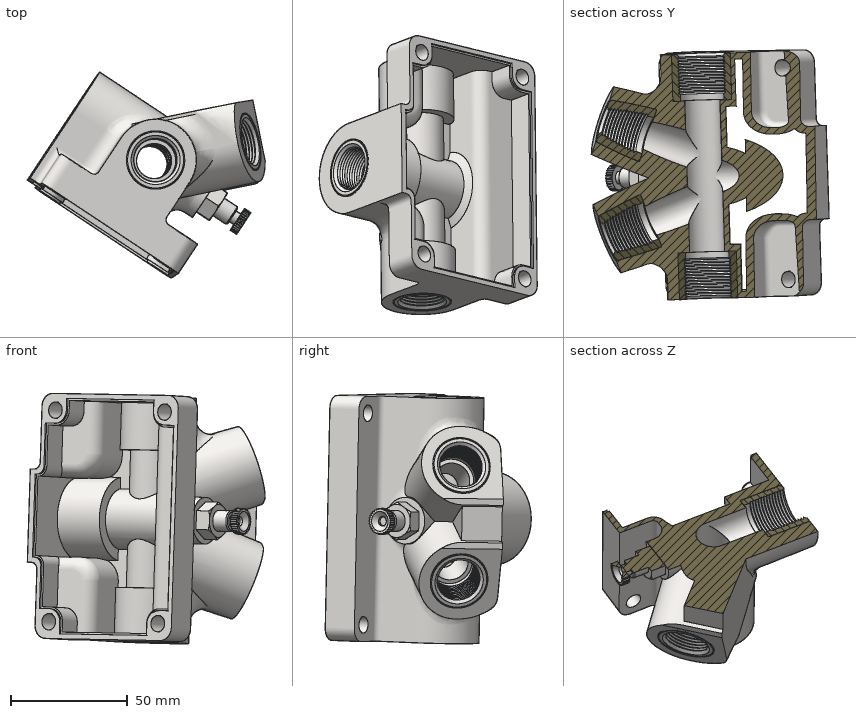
import cadquery as cq
import math

YAW = -33.54
PITCH = 0.85
ROLL = -2.0

WALL = 3.0

FLANGE_HALF_WIDTH = 35.0
HALF_HEIGHT = 52.5
FLANGE_CORNER = 5.5
FRONT_Y = -35.0
FLANGE_BACK_Y = -20.0
SCREW_X = 28.0
SCREW_Z = 45.3
SCREW_HOLE_DIAMETER = 7.0
SCREW_HOLE_DEPTH = 15.0
POST_RADIUS = 6.4

BOSS_RADIUS = 17.5
NOTCH_FILLET = 2.5
ARM_RADIUS = 20.0
ARM_END_X = -40.0
ARM_FLANGE_FILLET = 3.0
ARM_BOSS_FILLET = 7.0
BRANCH_RADIUS = 17.5
BRANCH_TURN = 45.0
BRANCH_RISE = 20.0
BRANCH_START_Z = 9.4
BRANCH_LENGTH = 45.0
BRANCH_REACH = 47.4
BRANCH_CORNER_START = 28.7
BRANCH_CORNER_DROP = 10.5
BRANCH_BOSS_FILLET = 7.0
BRANCH_BLEND_HALF_WIDTH = 16.0
WEB_HALF_HEIGHT = 8.0
WEB_REACH = 45.6

POCKET_HALF_WIDTH = 32.2
POCKET_HALF_HEIGHT = 49.6
POCKET_FLOOR_Y = -22.5
LIP_WIDTH = 0.8
LIP_DEPTH = 1.0
CHANNEL_HALF_WIDTH = BOSS_RADIUS - WALL
CHANNEL_FLOOR_Y = -2.5
CHANNEL_ROUND = 5.5
ARM_POCKET_END_X = ARM_END_X + 3.4
ARM_POCKET_HALF_HEIGHT = ARM_RADIUS - WALL
ARM_POCKET_ROUND = ARM_BOSS_FILLET + WALL
ARM_MOUTH_ROUND = 4.2

BORE_DIAMETER = 15.0
UPRIGHT_TUBE_RADIUS = 10.0
UPRIGHT_SLEEVE_RADIUS = 14.5
UPRIGHT_SLEEVE_END_Z = 29.5
CROSS_TUBE_RADIUS = 13.2
CROSS_SLEEVE_RADIUS = 18.0
CROSS_SLEEVE_END_X = -15.0
CROSS_FLARE_RADIUS = 17.2
CROSS_FLARE_LENGTH = 1.5

INSERT_DIAMETER = 25.0
INSERT_CHAMFER = 0.5
INSERT_LENGTH = 20.0
INSERT_MOUTH_DIAMETER = 21.0
THREAD_MINOR_DIAMETER = 18.5
THREAD_PITCH = 1.337
THREAD_DEPTH = 0.85
THREAD_TURNS = 12

VALVE_BOSS_RADIUS = 10.0
VALVE_BOSS_FILLET = 6.0
VALVE_SEAT_X = 27.5
HEX_ACROSS_FLATS = 14.0
HEX_LENGTH = 6.8
HEX_CORNER_CHAMFER = 1.0
BARREL_DIAMETER = 9.0
BARREL_LENGTH = 7.2
BARREL_CHAMFER = 0.5
STEM_DIAMETER = 5.5
STEM_LENGTH = 2.5
KNOB_DIAMETER = 11.2
KNOB_LENGTH = 3.2
KNURL_TEETH = 30
KNURL_DEPTH = 0.4
KNOB_CONE_DIAMETER = 8.5
KNOB_CONE_DEPTH = 2.0
KNOB_HOLE_DIAMETER = 4.0


def box(x_range, y_range, z_range):
    lows, highs = zip(x_range, y_range, z_range)
    sizes = [high - low for low, high in zip(lows, highs)]
    return cq.Workplane("XY").box(*sizes, centered=False).translate(lows)


def rod(direction, radius, start, end):
    """Cylinder on an axis through the origin, between two distances along it."""
    axis = cq.Vector(*direction).normalized()
    return cq.Workplane(cq.Solid.makeCylinder(radius, end - start, axis * start, axis))


def tilt_branch(shape, side):
    """Turn a shape built along +X into the upper (side 1) or lower (side -1) branch."""
    shape = shape.rotate((0, 0, 0), (0, 1, 0), -side * BRANCH_RISE)
    shape = shape.translate((0, 0, side * BRANCH_START_Z))
    return shape.rotate((0, 0, 0), (0, 0, 1), BRANCH_TURN)


def flange():
    plate = box(
        (-FLANGE_HALF_WIDTH, FLANGE_HALF_WIDTH),
        (FRONT_Y, FLANGE_BACK_Y),
        (-HALF_HEIGHT, HALF_HEIGHT),
    )
    return plate.edges("|Y").fillet(FLANGE_CORNER)


def upright_boss():
    boss = rod((0, 0, 1), BOSS_RADIUS, -HALF_HEIGHT, HALF_HEIGHT)
    stem = box((-BOSS_RADIUS, BOSS_RADIUS), (FRONT_Y + WALL, 0), (-HALF_HEIGHT, HALF_HEIGHT))
    return boss.union(stem)


def side_arm():
    arm = rod((1, 0, 0), ARM_RADIUS, ARM_END_X, 0)
    return arm.union(box((ARM_END_X, 0), (FRONT_Y, 0), (-ARM_RADIUS, ARM_RADIUS)))


def branch_corner_trim():
    """Sharp corner to remove, growing from nothing to its full size at the tip of a branch."""

    def section(x, scale):
        depth = scale * BRANCH_RADIUS
        drop = scale * BRANCH_CORNER_DROP
        ease = 1 - math.sqrt(0.5)
        return (
            cq.Workplane("YZ", origin=(x, BRANCH_RADIUS, BRANCH_RADIUS))
            .moveTo(0, 0)
            .lineTo(-depth, 0)
            .spline([(-depth * ease, -drop * ease), (0, -drop)], tangents=[(1, 0), (0, -1)], includeCurrent=True)
            .close()
            .val()
        )

    sections = [section(BRANCH_CORNER_START, 0.01), section(BRANCH_LENGTH, 1)]
    return cq.Workplane(cq.Solid.makeLoft(sections, True))


def branch(side):
    tube = rod((1, 0, 0), BRANCH_RADIUS, 0, BRANCH_LENGTH)
    back = box((0, BRANCH_LENGTH), (0, BRANCH_RADIUS), (-BRANCH_RADIUS, BRANCH_RADIUS))
    body = tube.union(back).cut(branch_corner_trim())
    if side < 0:
        body = body.mirror("XY")
    return tilt_branch(body, side)


def rear_branches():
    web = box((0, WEB_REACH), (0, BRANCH_RADIUS), (-WEB_HALF_HEIGHT, WEB_HALF_HEIGHT))
    web = web.rotate((0, 0, 0), (0, 0, 1), BRANCH_TURN)
    reach = box((-BRANCH_REACH, BRANCH_REACH), (-BRANCH_REACH, BRANCH_REACH), (-HALF_HEIGHT, HALF_HEIGHT))
    reach = reach.rotate((0, 0, 0), (0, 0, 1), BRANCH_TURN)
    return branch(1).union(branch(-1)).union(web).intersect(reach)


def screw_posts(radius):
    """Four corner blocks, each rounded about its screw hole on the inner corner."""
    posts = cq.Workplane("XY")
    for x_side in (-1, 1):
        for z_side in (-1, 1):
            post = (
                cq.Workplane("XZ", origin=(0, FRONT_Y, 0))
                .moveTo(x_side * (SCREW_X - radius), z_side * HALF_HEIGHT)
                .lineTo(x_side * (SCREW_X - radius), z_side * SCREW_Z)
                .radiusArc((x_side * SCREW_X, z_side * (SCREW_Z - radius)), -x_side * z_side * radius)
                .lineTo(x_side * FLANGE_HALF_WIDTH, z_side * (SCREW_Z - radius))
                .lineTo(x_side * FLANGE_HALF_WIDTH, z_side * HALF_HEIGHT)
                .close()
                .extrude(FRONT_Y - POCKET_FLOOR_Y)
            )
            posts = posts.add(post)
    return posts.combine()


def pocket(back_y, grow):
    """Shallow pocket behind the open face, with the mouth of the arm, widened all round by grow."""
    half_width = POCKET_HALF_WIDTH + grow
    half_height = POCKET_HALF_HEIGHT + grow
    arm_half_height = ARM_POCKET_HALF_HEIGHT + grow
    depth = (FRONT_Y, back_y)
    body = box((-half_width, half_width), depth, (-half_height, half_height))
    body = body.cut(screw_posts(POST_RADIUS - grow))
    body = body.union(box((ARM_POCKET_END_X - grow, 0), depth, (-arm_half_height, arm_half_height)))
    mouth_corners = cq.selectors.BoxSelector(
        (-half_width - 1, FRONT_Y - 1, -arm_half_height - 1),
        (-half_width + 1, back_y + 1, arm_half_height + 1),
    )
    return body.edges("|Y").edges(mouth_corners).fillet(ARM_MOUTH_ROUND - grow)


def deep_channel():
    """Upright channel and arm hollow behind the shallow pocket, opening with rounded rims."""
    depth = (POCKET_FLOOR_Y, CHANNEL_FLOOR_Y)
    channel = box(
        (-CHANNEL_HALF_WIDTH, CHANNEL_HALF_WIDTH), depth, (-POCKET_HALF_HEIGHT, POCKET_HALF_HEIGHT)
    )
    hollow = box(
        (ARM_POCKET_END_X, 0), depth, (-ARM_POCKET_HALF_HEIGHT, ARM_POCKET_HALF_HEIGHT)
    )
    inner_corners = cq.selectors.BoxSelector(
        (-CHANNEL_HALF_WIDTH - 1, POCKET_FLOOR_Y - 1, -ARM_POCKET_HALF_HEIGHT - 1),
        (-CHANNEL_HALF_WIDTH + 1, CHANNEL_FLOOR_Y + 1, ARM_POCKET_HALF_HEIGHT + 1),
    )
    return channel.union(hollow).edges("|Y").edges(inner_corners).fillet(ARM_POCKET_ROUND)


def cavity():
    body = pocket(POCKET_FLOOR_Y, 0).union(deep_channel())
    arm_rims = cq.selectors.BoxSelector(
        (-POCKET_HALF_WIDTH, POCKET_FLOOR_Y - 0.1, -POCKET_HALF_HEIGHT / 2),
        (0, POCKET_FLOOR_Y + 0.1, POCKET_HALF_HEIGHT / 2),
    )
    channel_rims = cq.selectors.BoxSelector(
        (-CHANNEL_HALF_WIDTH - 1, POCKET_FLOOR_Y - 0.1, -POCKET_HALF_HEIGHT),
        (CHANNEL_HALF_WIDTH + 1, POCKET_FLOOR_Y + 0.1, POCKET_HALF_HEIGHT),
    )
    body = body.edges(arm_rims + channel_rims).fillet(CHANNEL_ROUND)
    return body.union(pocket(FRONT_Y + LIP_DEPTH, LIP_WIDTH))


def valve_boss():
    return rod((1, 0, 0), VALVE_BOSS_RADIUS, 0, VALVE_SEAT_X)


def inner_tubes():
    tubes = rod((0, 0, 1), UPRIGHT_TUBE_RADIUS, -HALF_HEIGHT, HALF_HEIGHT)
    for start, end in ((-HALF_HEIGHT, -UPRIGHT_SLEEVE_END_Z), (UPRIGHT_SLEEVE_END_Z, HALF_HEIGHT)):
        tubes = tubes.union(rod((0, 0, 1), UPRIGHT_SLEEVE_RADIUS, start, end))
    tubes = tubes.union(rod((1, 0, 0), CROSS_TUBE_RADIUS, ARM_END_X, CHANNEL_HALF_WIDTH))
    flare = cq.Solid.makeCone(
        CROSS_TUBE_RADIUS,
        CROSS_FLARE_RADIUS,
        CROSS_FLARE_LENGTH,
        cq.Vector(CHANNEL_HALF_WIDTH - CROSS_FLARE_LENGTH, 0, 0),
        cq.Vector(1, 0, 0),
    )
    tubes = tubes.union(cq.Workplane(flare))
    return tubes.union(rod((1, 0, 0), CROSS_SLEEVE_RADIUS, ARM_END_X, CROSS_SLEEVE_END_X))


def port_bore(length):
    """Bore along +X ending in a counterbore that takes an insert."""
    bore = rod((1, 0, 0), BORE_DIAMETER / 2, 0, length)
    return bore.union(rod((1, 0, 0), INSERT_DIAMETER / 2, length - INSERT_LENGTH, length))


def insert(length):
    """Threaded bush along +X whose outer face lies at the given distance."""
    radius = INSERT_DIAMETER / 2
    minor = THREAD_MINOR_DIAMETER / 2
    mouth = INSERT_MOUTH_DIAMETER / 2
    base = length - INSERT_LENGTH
    thread_top = length - (mouth - minor)
    outline = [
        (base, minor),
        (base, radius),
        (length - INSERT_CHAMFER, radius),
        (length, radius - INSERT_CHAMFER),
        (length, mouth),
        (thread_top, minor),
    ]
    for turn in range(THREAD_TURNS):
        crest = thread_top - turn * THREAD_PITCH
        outline.append((crest - THREAD_PITCH / 2, minor + THREAD_DEPTH))
        outline.append((crest - THREAD_PITCH, minor))
    return cq.Workplane("XY").polyline(outline).close().revolve(360, (0, 0, 0), (1, 0, 0))


def at_ports(make):
    """Shapes made along +X, one for each of the five ports."""
    upright = make(HALF_HEIGHT)
    shapes = [
        upright.rotate((0, 0, 0), (0, 1, 0), -90),
        upright.rotate((0, 0, 0), (0, 1, 0), 90),
        make(-ARM_END_X).rotate((0, 0, 0), (0, 0, 1), 180),
    ]
    rear = make(BRANCH_LENGTH)
    return shapes + [tilt_branch(rear, side) for side in (1, -1)]


def screw_holes():
    points = [(x * SCREW_X, z * SCREW_Z) for x in (-1, 1) for z in (-1, 1)]
    return (
        cq.Workplane("XZ", origin=(0, FRONT_Y, 0))
        .pushPoints(points)
        .circle(SCREW_HOLE_DIAMETER / 2)
        .extrude(-SCREW_HOLE_DEPTH)
    )


def fillet_where(body, radius, chosen):
    """Round the edges whose centres satisfy a condition."""
    edges = [edge for edge in body.edges().vals() if chosen(edge.Center())]
    return cq.Workplane(body.val().fillet(radius, edges))


def near(value, target):
    return abs(value - target) < 0.1


def on_arm_flange_corner(centre):
    return near(centre.x, -FLANGE_HALF_WIDTH) and near(abs(centre.z), ARM_RADIUS)


def on_arm_boss_seam(centre):
    if near(centre.x, -BOSS_RADIUS):
        return near(abs(centre.z), ARM_RADIUS) and FLANGE_BACK_Y < centre.y < 0
    return -BOSS_RADIUS < centre.x < -1 and centre.y > 1 and abs(centre.z) < ARM_RADIUS


def on_notch(centre):
    return near(abs(centre.x), BOSS_RADIUS) and near(centre.y, FLANGE_BACK_Y)


def on_valve_boss_seam(centre):
    return near(centre.x, BOSS_RADIUS) and near(centre.z, 0) and -VALVE_BOSS_RADIUS < centre.y < 0


def on_branch_seam(centre):
    inside = math.hypot(centre.x, centre.y) < BOSS_RADIUS + 1
    return inside and centre.x + centre.y > 0 and abs(centre.z) < HALF_HEIGHT - 7


def branch_blend():
    """Fillet between the vertical boss and the upper branch, made on a slightly narrower branch."""
    length = BRANCH_LENGTH - 2
    half_width = BRANCH_BLEND_HALF_WIDTH
    tube = cq.Workplane("YZ").ellipse(half_width, BRANCH_RADIUS).extrude(length)
    tube = tube.union(box((0, length), (0, half_width), (-BRANCH_RADIUS, BRANCH_RADIUS)))
    boss = rod((0, 0, 1), BOSS_RADIUS, -HALF_HEIGHT - 1, HALF_HEIGHT + 1)
    blend = fillet_where(boss.union(tilt_branch(tube, 1)), BRANCH_BOSS_FILLET, on_branch_seam)
    keep = box((0, BRANCH_LENGTH * 2 / 3), (-BRANCH_RADIUS, BRANCH_RADIUS), (BRANCH_RADIUS, HALF_HEIGHT))
    return blend.intersect(keep.rotate((0, 0, 0), (0, 0, 1), BRANCH_TURN)).cut(
        tilt_branch(branch_corner_trim(), 1)
    )


def outer_body():
    body = flange().union(upright_boss()).union(side_arm()).union(valve_boss())
    body = fillet_where(body, VALVE_BOSS_FILLET, on_valve_boss_seam)
    body = fillet_where(body, ARM_FLANGE_FILLET, on_arm_flange_corner)
    body = fillet_where(body, ARM_BOSS_FILLET, on_arm_boss_seam)
    body = fillet_where(body, NOTCH_FILLET, on_notch)
    blend = branch_blend()
    return body.union(rear_branches()).union(blend).union(blend.mirror("XY"))


def housing():
    body = outer_body()
    body = body.cut(cavity()).union(inner_tubes()).cut(screw_holes())
    for bore in at_ports(port_bore):
        body = body.cut(bore)
    return body


def knob(start):
    """Knurled thumb knob with a tapered recess and a blind hole in its face."""
    points = []
    for tooth in range(KNURL_TEETH):
        for half, radius in ((0, KNOB_DIAMETER / 2), (0.5, KNOB_DIAMETER / 2 - KNURL_DEPTH)):
            angle = (tooth + half) * 2 * math.pi / KNURL_TEETH
            points.append((radius * math.cos(angle), radius * math.sin(angle)))
    body = cq.Workplane("YZ", origin=(start, 0, 0)).polyline(points).close().extrude(KNOB_LENGTH)
    cone = cq.Solid.makeCone(
        KNOB_CONE_DIAMETER / 2,
        KNOB_HOLE_DIAMETER / 2,
        KNOB_CONE_DEPTH,
        cq.Vector(start + KNOB_LENGTH, 0, 0),
        cq.Vector(-1, 0, 0),
    )
    hole = rod((1, 0, 0), KNOB_HOLE_DIAMETER / 2, start, start + KNOB_LENGTH)
    return body.cut(cone).cut(hole)


def valve():
    hex_end = VALVE_SEAT_X + HEX_LENGTH
    barrel_end = hex_end + BARREL_LENGTH
    stem_end = barrel_end + STEM_LENGTH
    nut = (
        cq.Workplane("YZ", origin=(VALVE_SEAT_X, 0, 0))
        .polygon(6, HEX_ACROSS_FLATS, circumscribed=True)
        .extrude(HEX_LENGTH)
    )
    corner_radius = HEX_ACROSS_FLATS / math.sqrt(3)
    turned = rod((1, 0, 0), corner_radius, VALVE_SEAT_X, hex_end)
    nut = nut.intersect(turned.faces(">X").chamfer(HEX_CORNER_CHAMFER / 2, HEX_CORNER_CHAMFER))
    barrel = rod((1, 0, 0), BARREL_DIAMETER / 2, hex_end, barrel_end)
    barrel = barrel.faces(">X").chamfer(BARREL_CHAMFER)
    stem = rod((1, 0, 0), STEM_DIAMETER / 2, barrel_end, stem_end)
    return nut.union(barrel).union(stem).union(knob(stem_end))


def orient(shape):
    shape = shape.rotate((0, 0, 0), (1, 0, 0), ROLL)
    shape = shape.rotate((0, 0, 0), (0, 1, 0), PITCH)
    return shape.rotate((0, 0, 0), (0, 0, 1), YAW)


bodies = [housing(), *at_ports(insert), valve()]
result = cq.Compound.makeCompound([orient(body).val() for body in bodies])